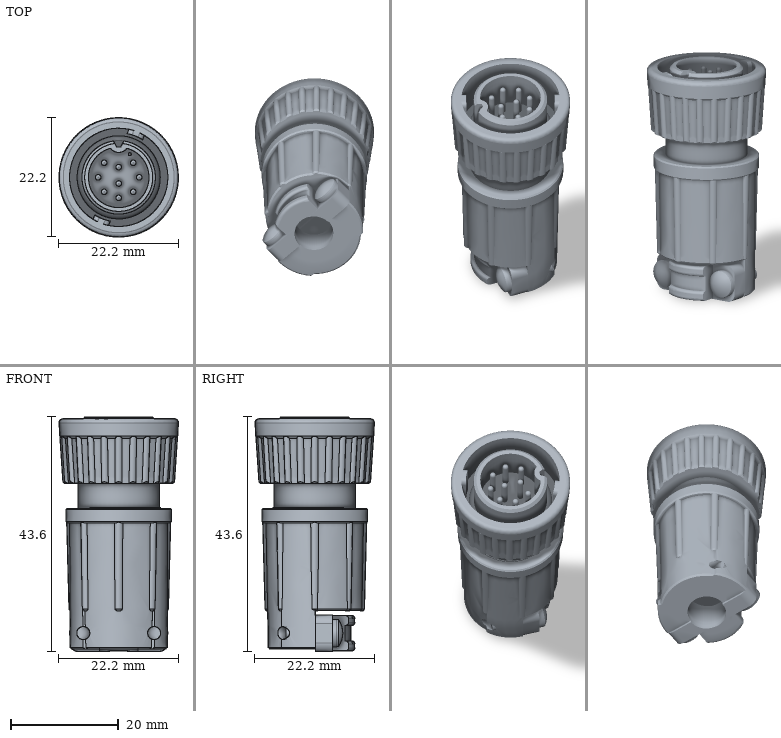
import cadquery as cq
import math


BODY_BOTTOM_Z = 0.5
STEP_Z = 7.6
BODY_TOP_Z = 24.2
CORE_BOTTOM_R = 8.66
CORE_TOP_R = 9.1
SIDE_BOTTOM_R = 9.06
SIDE_TOP_R = 9.14
SIDE_HALF_WIDTH = 6.15
BODY_EDGE = 0.3
SPLIT_Y = 0.13
BODY_RIB_COUNT = 8
BODY_RIB_R = 0.78
BODY_RIB_BOTTOM_R = 9.24
BODY_RIB_TOP_R = 9.69

COLLAR_R = 9.82
COLLAR_TOP_Z = 26.64
COLLAR_EDGE = 0.25
NECK_R = 7.62
SEAT_HEIGHT = 0.15
SEAT_SHIFT = 0.15

NUT_BOTTOM_Z = 31.28
NUT_TOP_Z = 43.3
RIM_BOTTOM_Z = 40.05
RIM_R = 11.105
RIM_BOTTOM_R = 10.97
RIM_TOP_FILLET = 0.8
RIM_UNDERCUT = 0.45
BORE_R = 9.14
BORE_FLOOR_Z = 35.7
GRIP_RIB_COUNT = 24
GRIP_RIB_R = 0.67
GRIP_DEPTH = 0.5
GRIP_BOTTOM_R = 10.36
GRIP_TOP_R = 10.95
GRIP_EDGE = 0.3

LUG_INNER_R = 8.28
LUG_WIDTH = 3.1
LUG_FILLET = 0.95
LUG_ANGLE = 68.3

FLANGE_R = 7.73
FLANGE_FILLET = 0.9
FLANGE_TOP_Z = BORE_FLOOR_Z + FLANGE_FILLET
SHELL_R = FLANGE_R - FLANGE_FILLET
SHELL_INNER_R = 5.63
SHELL_TOP_Z = 43.59
SHELL_CHAMFER = 0.5
KEY_BUMP_R = 1.87
KEY_BUMP_Y = 6.5
KEY_BLEND_R = 0.4
KEY_OUTER_HALF = 1.0
KEY_INNER_HALF = 0.35
KEY_DEPTH_Y = 5.6
PIN_R = 0.52
PIN_TIP_Z = 42.4
PIN_TIP_FILLET = 0.47
PIN_CIRCLE_R = 3.82
PIN_ANGLES = [0, 45, 135, 180, 225, 270, 315]
INNER_PINS_Y = [1.9, -1.15]
DOT_R = 0.28
DOT_POSITION = (2.06, 4.3)

CLAMP_HALF_WIDTH = 9.05
CLAMP_BACK_Y = 3.32
CLAMP_HEIGHT = 6.85
CLAMP_CORNER_R = 1.6
CABLE_R = 3.6
HUMP_HALF_WIDTH = 4.0
HUMP_SIDE_Y = 6.3
HUMP_TIP_Y = 7.45
HUMP_WEB_Y = 6.75
HUMP_INSET = 0.12
HUMP_RIB_WIDTH = 1.9
HUMP_RIB_FILLET = 0.6
SCREW_X = 6.58
SCREW_Z = 3.45
SCREW_HOLE_R = 1.21
SCREW_END_Y = -5.3
HEAD_R = 2.55
HEAD_RIM = 0.75
HEAD_DOME_R = 2.5
HEAD_DOME_START = 1.07
HEAD_HEIGHT = 1.9

OVERLAP = 0.5


def disc(radius, z_bottom, z_top, x=0, y=0):
    return cq.Workplane("XY", origin=(x, y, z_bottom)).circle(radius).extrude(z_top - z_bottom)


def revolved(points):
    """Turn a closed (radius, z) outline about the Z axis."""
    return cq.Workplane("XZ").polyline(points).close().revolve(360, (0, 0), (0, 1))


def slab(x_size, y_min, y_max, z_min, z_max):
    """Box centred on X = 0."""
    return (
        cq.Workplane("XY", origin=(0, 0, z_min))
        .center(0, (y_min + y_max) / 2)
        .rect(x_size, y_max - y_min)
        .extrude(z_max - z_min)
    )


def leaning_rod(rod_r, bottom, top):
    """Rod between two (radius, z) points in the XZ plane."""
    start = cq.Vector(bottom[0], 0, bottom[1])
    axis = cq.Vector(top[0], 0, top[1]) - start
    return cq.Workplane(cq.Solid.makeCylinder(rod_r, axis.Length, start, axis))


def around_z(shape, count):
    return [shape.rotate((0, 0, 0), (0, 0, 1), i * 360 / count) for i in range(count)]


def merge(base, parts):
    return cq.Workplane(base.val().fuse(*[part.val() for part in parts]))


def tapered_body(bottom_r, top_r, start_z):
    """Cone between the two end radii, kept above start_z and bevelled there."""
    slope = (top_r - bottom_r) / (BODY_TOP_Z - BODY_BOTTOM_Z)
    start_r = bottom_r + slope * (start_z - BODY_BOTTOM_Z)
    return revolved([
        (0, start_z),
        (start_r - BODY_EDGE, start_z),
        (start_r + slope * BODY_EDGE, start_z + BODY_EDGE),
        (top_r, BODY_TOP_Z),
        (0, BODY_TOP_Z),
    ])


def core_with_sides(start_z):
    side_band = slab(2 * COLLAR_R, -SIDE_HALF_WIDTH, SIDE_HALF_WIDTH, 0, BODY_TOP_Z)
    sides = tapered_body(SIDE_BOTTOM_R, SIDE_TOP_R, start_z).intersect(side_band)
    return tapered_body(CORE_BOTTOM_R, CORE_TOP_R, start_z).union(sides)


def body_ribs():
    centre_bottom = (BODY_RIB_BOTTOM_R - BODY_RIB_R, STEP_Z)
    centre_top = (BODY_RIB_TOP_R - BODY_RIB_R, BODY_TOP_Z + OVERLAP)
    rib = leaning_rod(BODY_RIB_R, centre_bottom, centre_top).faces("<Z").chamfer(BODY_EDGE)
    return around_z(rib, BODY_RIB_COUNT)


def make_body():
    back_half = slab(2 * COLLAR_R, SPLIT_Y, COLLAR_R, 0, BODY_TOP_Z)
    front_half = core_with_sides(BODY_BOTTOM_Z).cut(back_half)
    body = core_with_sides(STEP_Z).union(front_half)
    body = merge(body, body_ribs())
    collar = disc(COLLAR_R, BODY_TOP_Z - OVERLAP / 2, COLLAR_TOP_Z).edges().chamfer(COLLAR_EDGE)
    seat = disc(NECK_R, BODY_TOP_Z, COLLAR_TOP_Z + SEAT_HEIGHT, SEAT_SHIFT, -SEAT_SHIFT)
    neck = disc(NECK_R, BODY_TOP_Z, NUT_BOTTOM_Z + OVERLAP)
    return body.union(collar).union(seat).union(neck)


def make_grip_ribs():
    """Leaning round ribs, cut flat and bevelled at the bottom of the nut."""
    slope = (GRIP_TOP_R - GRIP_BOTTOM_R) / (RIM_BOTTOM_Z - NUT_BOTTOM_Z)
    extension = OVERLAP * slope
    rod_bottom = (GRIP_BOTTOM_R - GRIP_RIB_R - extension, NUT_BOTTOM_Z - OVERLAP)
    rod_top = (GRIP_TOP_R - GRIP_RIB_R, RIM_BOTTOM_Z)
    envelope = revolved([
        (0, NUT_BOTTOM_Z),
        (GRIP_BOTTOM_R - GRIP_EDGE, NUT_BOTTOM_Z),
        (GRIP_BOTTOM_R + GRIP_EDGE * slope, NUT_BOTTOM_Z + GRIP_EDGE),
        (RIM_R, RIM_BOTTOM_Z),
        (RIM_R, RIM_BOTTOM_Z + OVERLAP),
        (0, RIM_BOTTOM_Z + OVERLAP),
    ])
    rib = leaning_rod(GRIP_RIB_R, rod_bottom, rod_top).intersect(envelope)
    return around_z(rib, GRIP_RIB_COUNT)


def make_lug(angle):
    lug = (
        slab(LUG_WIDTH, 0, BORE_R + OVERLAP, BORE_FLOOR_Z, NUT_TOP_Z)
        .edges("|Y and >Z").fillet(LUG_FILLET)
        .cut(disc(LUG_INNER_R, BORE_FLOOR_Z, NUT_TOP_Z))
    )
    return lug.rotate((0, 0, 0), (0, 0, 1), angle - 90)


def make_nut():
    nut = revolved([
        (0, NUT_BOTTOM_Z),
        (GRIP_BOTTOM_R - GRIP_DEPTH, NUT_BOTTOM_Z),
        (GRIP_TOP_R - GRIP_DEPTH, RIM_BOTTOM_Z - RIM_UNDERCUT),
        (RIM_BOTTOM_R, RIM_BOTTOM_Z),
        (RIM_R, NUT_TOP_Z - RIM_TOP_FILLET),
        (RIM_R, NUT_TOP_Z),
        (0, NUT_TOP_Z),
    ])
    nut = nut.faces(">Z").edges().fillet(RIM_TOP_FILLET)
    nut = merge(nut, make_grip_ribs())
    nut = nut.cut(disc(BORE_R, BORE_FLOOR_Z, NUT_TOP_Z))
    for angle in (LUG_ANGLE, LUG_ANGLE + 180):
        nut = nut.union(make_lug(angle))
    return nut


def make_pin(x, y):
    pin = disc(PIN_R, FLANGE_TOP_Z - OVERLAP, PIN_TIP_Z, x, y)
    return pin.faces(">Z").edges().fillet(PIN_TIP_FILLET)


def make_insert():
    flange = disc(FLANGE_R, BORE_FLOOR_Z - OVERLAP, FLANGE_TOP_Z)
    flange = flange.faces(">Z").edges().fillet(FLANGE_FILLET)
    shell = disc(SHELL_R, FLANGE_TOP_Z - OVERLAP, SHELL_TOP_Z).faces(">Z").edges().chamfer(SHELL_CHAMFER)
    key_bump = disc(KEY_BUMP_R, FLANGE_TOP_Z, SHELL_TOP_Z, 0, KEY_BUMP_Y)
    cavity = disc(SHELL_INNER_R, FLANGE_TOP_Z, SHELL_TOP_Z).cut(key_bump)
    cavity = cavity.edges("|Z").edges(">Y").fillet(KEY_BLEND_R)
    keyway = (
        cq.Workplane("XY", origin=(0, 0, FLANGE_TOP_Z))
        .moveTo(-KEY_OUTER_HALF, SHELL_R)
        .lineTo(-KEY_INNER_HALF, KEY_DEPTH_Y)
        .lineTo(KEY_INNER_HALF, KEY_DEPTH_Y)
        .lineTo(KEY_OUTER_HALF, SHELL_R)
        .close()
        .extrude(SHELL_TOP_Z - FLANGE_TOP_Z)
    )
    insert = flange.union(shell.cut(cavity).cut(keyway))

    pins = [make_pin(0, y) for y in INNER_PINS_Y]
    for angle in PIN_ANGLES:
        turn = math.radians(angle)
        pins.append(make_pin(PIN_CIRCLE_R * math.cos(turn), PIN_CIRCLE_R * math.sin(turn)))
    dot = cq.Workplane("XY").sphere(DOT_R).translate((*DOT_POSITION, FLANGE_TOP_Z))
    return merge(insert, pins + [dot])


def hump_slice(tip_y, z_min, z_max):
    """Slice of the arched hump, straight-sided up to its shoulders."""
    shoulder_y = tip_y - (HUMP_TIP_Y - HUMP_SIDE_Y)
    return (
        cq.Workplane("XY", origin=(0, 0, z_min))
        .moveTo(-HUMP_HALF_WIDTH, SPLIT_Y)
        .lineTo(-HUMP_HALF_WIDTH, shoulder_y)
        .threePointArc((0, tip_y), (HUMP_HALF_WIDTH, shoulder_y))
        .lineTo(HUMP_HALF_WIDTH, SPLIT_Y)
        .close()
        .extrude(z_max - z_min)
    )


def make_clamp():
    clamp = slab(2 * CLAMP_HALF_WIDTH, SPLIT_Y, CLAMP_BACK_Y, 0, CLAMP_HEIGHT)
    clamp = clamp.edges("|Y").fillet(CLAMP_CORNER_R)
    hump_bottom = HUMP_INSET
    hump_top = CLAMP_HEIGHT - HUMP_INSET
    clamp = clamp.union(hump_slice(HUMP_WEB_Y, hump_bottom, hump_top))
    for rib_bottom in (hump_bottom, hump_top - HUMP_RIB_WIDTH):
        rib = hump_slice(HUMP_TIP_Y, rib_bottom, rib_bottom + HUMP_RIB_WIDTH)
        rib = rib.edges("%CIRCLE").fillet(HUMP_RIB_FILLET)
        clamp = clamp.union(rib)
    return clamp


def make_screw_head(x):
    """Domed head whose axis runs along Y."""
    dome_rise = HEAD_HEIGHT - HEAD_DOME_START
    dome_radius = (HEAD_DOME_R**2 + dome_rise**2) / (2 * dome_rise)
    half_turn = math.asin(HEAD_DOME_R / dome_radius) / 2
    dome_middle = (
        dome_radius * math.sin(half_turn),
        HEAD_HEIGHT - dome_radius * (1 - math.cos(half_turn)),
    )
    profile = (
        cq.Workplane("XY")
        .lineTo(HEAD_R, 0)
        .lineTo(HEAD_R, HEAD_RIM)
        .lineTo(HEAD_DOME_R, HEAD_DOME_START)
        .threePointArc(dome_middle, (0, HEAD_HEIGHT))
        .close()
    )
    return profile.revolve(360, (0, 0), (0, 1)).translate((x, CLAMP_BACK_Y, SCREW_Z))


def screw_rod(x, y_min, y_max):
    return cq.Workplane("XZ", origin=(x, y_max, SCREW_Z)).circle(SCREW_HOLE_R).extrude(y_max - y_min)


result = make_body().union(make_nut()).union(make_insert()).union(make_clamp())
result = result.cut(disc(CABLE_R, 0, CLAMP_HEIGHT, 0, SPLIT_Y))
for screw_x in (-SCREW_X, SCREW_X):
    result = result.cut(screw_rod(screw_x, -COLLAR_R, SCREW_END_Y))
    result = result.union(screw_rod(screw_x, SCREW_END_Y, SPLIT_Y))
    result = result.union(make_screw_head(screw_x))